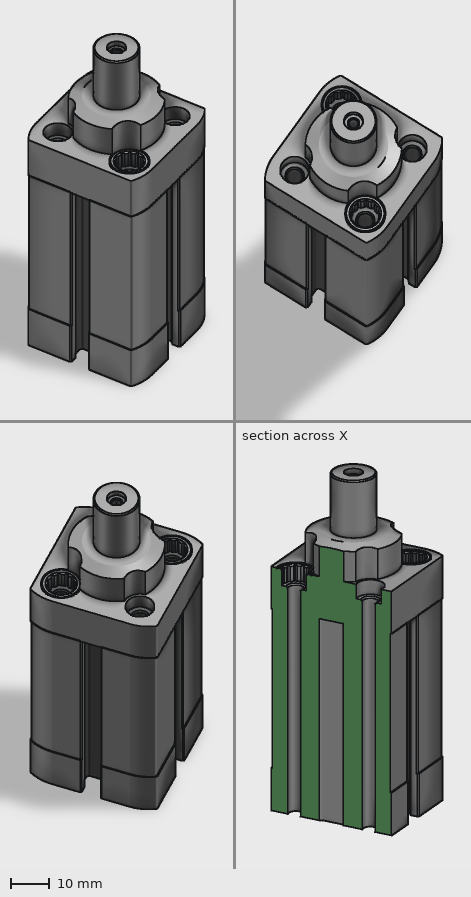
import cadquery as cq
import math

total_height = 94.0
end_cap_top = 12.0
front_cap_bottom = 56.5
front_cap_top = 68.4
collar_top = 78.0

cap_width = 35.5
tube_inset = 0.3
side_flat_half = 10.9
corner_x = 15.8
corner_fillet = 0.75

slot_mouth_half = 2.6
slot_mouth_chamfer = 0.4
slot_lip_depth = 2.3
slot_undercut = 0.9
slot_channel_depth = 3.2
slot_corner_radius = 0.9

collar_diameter = 25.0
collar_flat_diameter = 18.0
collar_bevel_height = 1.1

bolt_offset = 11.0
bolt_hole_diameter = 4.1
bolt_hole_mouth_diameter = 5.0
counterbore_diameter = 7.5
counterbore_depth = 4.0
counterbore_clearance = 9.0

head_recess_diameter = 10.5
head_top_diameter = 9.8
socket_tip_diameter = 8.3
socket_rib_diameter = 7.3
socket_depth = 4.7
socket_squares = 3

rod_diameter = 12.0
rod_chamfer = 0.4
rod_recess_diameter = 5.0
rod_recess_depth = 1.5
rod_hole_diameter = 2.4
rod_hole_mouth_diameter = 3.1
rod_hole_depth = 9.4
drill_tip_angle = 118.0

plain_bolt_points = [(bolt_offset, bolt_offset), (-bolt_offset, -bolt_offset)]
socket_bolt_points = [(-bolt_offset, bolt_offset), (bolt_offset, -bolt_offset)]


def cylinder(diameter, bottom, top, center=(0, 0)):
    """Upright cylinder between two heights."""
    return cq.Workplane("XY", origin=(*center, bottom)).circle(diameter / 2).extrude(top - bottom)


def cone(bottom_diameter, top_diameter, bottom, top, center=(0, 0)):
    """Upright truncated cone between two heights."""
    solid = cq.Solid.makeCone(
        bottom_diameter / 2, top_diameter / 2, top - bottom, cq.Vector(*center, bottom)
    )
    return cq.Workplane(obj=solid)


def countersink(hole_diameter, mouth_diameter, top, center=(0, 0)):
    """Cutter for a 45 degree chamfer around the mouth of a hole."""
    depth = (mouth_diameter - hole_diameter) / 2
    return cone(hole_diameter, mouth_diameter, top - depth, top, center)


def profile_prism(inset, bottom, top):
    """Prism of the housing outline, with its four flat sides moved inward by the inset."""
    half = cap_width / 2 - inset
    prism = (
        cq.Workplane("XY", origin=(0, 0, bottom))
        .moveTo(half, 0)
        .lineTo(half, side_flat_half)
        .tangentArcPoint((corner_x, half), relative=False)
        .lineTo(0, half)
        .mirrorY()
        .mirrorX()
        .extrude(top - bottom)
    )
    return prism.faces("<Y or >Y").edges("|Z").fillet(corner_fillet)


def sensor_slot(inset, bottom, top):
    """Cutter for the undercut slot in the -Y face of a section with the given inset."""
    face = -cap_width / 2 + inset
    lip = -cap_width / 2 + slot_lip_depth
    channel_half = slot_mouth_half + slot_undercut
    corner = lip + slot_channel_depth
    floor = corner + slot_corner_radius
    floor_half = channel_half - slot_corner_radius
    return (
        cq.Workplane("XY", origin=(0, 0, bottom))
        .moveTo(-slot_mouth_half - slot_mouth_chamfer, face)
        .lineTo(-slot_mouth_half, face + slot_mouth_chamfer)
        .lineTo(-slot_mouth_half, lip)
        .lineTo(-channel_half, lip + slot_undercut)
        .lineTo(-channel_half, corner)
        .tangentArcPoint((-floor_half, floor), relative=False)
        .lineTo(floor_half, floor)
        .tangentArcPoint((channel_half, corner), relative=False)
        .lineTo(channel_half, lip + slot_undercut)
        .lineTo(slot_mouth_half, lip)
        .lineTo(slot_mouth_half, face + slot_mouth_chamfer)
        .lineTo(slot_mouth_half + slot_mouth_chamfer, face)
        .close()
        .extrude(top - bottom)
    )


def slotted_section(inset, bottom, top):
    """Section of the housing with a sensor slot in each of its four sides."""
    section = profile_prism(inset, bottom, top)
    slot = sensor_slot(inset, bottom, top)
    for side in range(4):
        section = section.cut(slot.rotate((0, 0, 0), (0, 0, 1), 90 * side))
    return section


def make_collar():
    """Round collar with a shallow conical top and a scallop above each bolt hole."""
    bevel_bottom = collar_top - collar_bevel_height
    collar = cylinder(collar_diameter, front_cap_top, bevel_bottom)
    collar = collar.union(cone(collar_diameter, collar_flat_diameter, bevel_bottom, collar_top))
    for point in plain_bolt_points:
        collar = collar.cut(cylinder(counterbore_clearance, front_cap_top, collar_top, point))
    for point in socket_bolt_points:
        collar = collar.cut(cylinder(head_recess_diameter, front_cap_top, collar_top, point))
    return collar


def bolt_hole(point, floor):
    """Cutter for a through hole with a chamfered mouth at the given floor height."""
    hole = cylinder(bolt_hole_diameter, 0, floor, point)
    return hole.union(countersink(bolt_hole_diameter, bolt_hole_mouth_diameter, floor, point))


def counterbored_hole(point):
    """Cutter for a bolt hole with a plain counterbore."""
    floor = front_cap_top - counterbore_depth
    return bolt_hole(point, floor).union(cylinder(counterbore_diameter, floor, front_cap_top, point))


def socket_hole(point):
    """Cutter for a bolt hole under a twelve-point socket with a bevelled rim."""
    floor = front_cap_top - socket_depth
    cutter = bolt_hole(point, floor).union(cylinder(socket_rib_diameter, floor, front_cap_top, point))
    square_side = socket_tip_diameter / math.sqrt(2)
    for index in range(socket_squares):
        turn = 45 + index * 90 / socket_squares
        square = (
            cq.Workplane("XY", origin=(*point, floor))
            .transformed(rotate=(0, 0, turn))
            .rect(square_side, square_side)
            .extrude(socket_depth)
        )
        cutter = cutter.union(square)
    cutter = cutter.union(countersink(socket_rib_diameter, socket_tip_diameter, front_cap_top, point))
    rim_bottom = front_cap_top - (head_recess_diameter - head_top_diameter) / 2
    rim_bevel = cylinder(head_recess_diameter, rim_bottom, front_cap_top, point).cut(
        cone(head_recess_diameter, head_top_diameter, rim_bottom, front_cap_top, point)
    )
    return cutter.union(rim_bevel)


def make_housing():
    """End cap, tube, front cap and collar in one piece, with the bore for the rod."""
    housing = slotted_section(0, 0, end_cap_top)
    housing = housing.union(slotted_section(tube_inset, end_cap_top, front_cap_bottom))
    housing = housing.union(profile_prism(0, front_cap_bottom, front_cap_top))
    housing = housing.union(make_collar())
    housing = housing.cut(cylinder(rod_diameter, front_cap_bottom, collar_top))
    for point in plain_bolt_points:
        housing = housing.cut(counterbored_hole(point))
    for point in socket_bolt_points:
        housing = housing.cut(socket_hole(point))
    return housing


def make_rod():
    """Piston rod with a recessed, cone-bottomed hole in its free end."""
    rod = cylinder(rod_diameter, front_cap_bottom, total_height).faces(">Z").chamfer(rod_chamfer)
    recess_floor = total_height - rod_recess_depth
    hole_bottom = recess_floor - rod_hole_depth
    tip_depth = rod_hole_diameter / 2 / math.tan(math.radians(drill_tip_angle / 2))
    rod = rod.cut(cylinder(rod_recess_diameter, recess_floor, total_height))
    rod = rod.cut(countersink(rod_hole_diameter, rod_hole_mouth_diameter, recess_floor))
    rod = rod.cut(cylinder(rod_hole_diameter, hole_bottom, recess_floor))
    return rod.cut(cone(0, rod_hole_diameter, hole_bottom - tip_depth, hole_bottom))


housing = make_housing()
rod = make_rod()
result = cq.Compound.makeCompound([housing.val(), rod.val()])